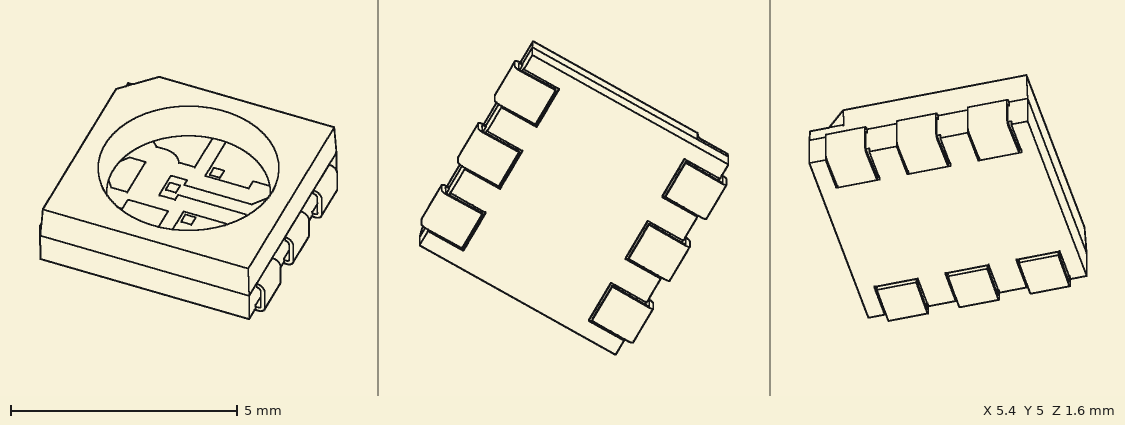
import cadquery as cq
import math


overall_length = 5.4
body_size = 5.0
overall_height = 1.6
half_body = body_size / 2

base_bottom = 0.1
base_top = 0.815
foot_recess_width = 1.0
foot_recess_length = 0.9
foot_recess_depth = 0.1

lead_pitch = 1.625
lead_width = 0.895
lead_thickness = 0.1
lead_top = base_top - 0.005
lead_overhang = (overall_length - body_size) / 2
upper_bend_radius = lead_overhang
lower_bend_radius = 0.15
foot_tilt = 3.0
foot_length = 1.05

top_inset = 0.04
corner_leg = 0.73
corner_depth = 0.485
cup_top_radius = 2.0
cup_floor_radius = 1.81
cup_depth = 0.725
floor_level = overall_height - cup_depth
pad_height = floor_level - base_top

outside = 2.16
gap_left = -0.18
gap_right = 0.14
centre_pad_left = -0.56
centre_pad_half_width = 0.34
neck_half_width = 0.175
neck_end = 1.44
flare_end = (1.89, 0.76)
side_pad_right = -1.25
side_pad_corner = -1.63
side_pad_half_width = 0.525
side_pad_taper_end = (-1.89, 0.175)
back_left_bottom = 0.795
back_left_shoulder = 1.07
back_left_corner = -1.215
relief_radius = 0.5
back_right_bottom = 0.62
back_right_step = (1.18, 0.875)
front_left_top = -0.74
front_left_step = (-1.14, -1.06)
front_right_top = -0.615
front_right_side = 1.16

chip_size = 0.25
chip_x = 0.34
chip_y = 0.815
centre_chip_x = -0.37
chip_places = [(chip_x, chip_y), (chip_x, -chip_y), (centre_chip_x, 0)]


def circle_point(centre, radius, degrees):
    """Point on a circle, at an angle counted from the first axis."""
    angle = math.radians(degrees)
    return (centre[0] + radius * math.cos(angle), centre[1] + radius * math.sin(angle))


def make_lead(y):
    """A lead at the -X side: out of the wall, down, and back under the base."""
    outer_x = -overall_length / 2
    inner_x = outer_x + lead_thickness
    foot_tip = outer_x + foot_length
    slope = math.tan(math.radians(foot_tilt))
    upper_centre = (-half_body, lead_top - upper_bend_radius)
    upper_inner_radius = upper_bend_radius - lead_thickness
    lower_centre = (outer_x + lower_bend_radius, lower_bend_radius)
    lower_inner_radius = lower_bend_radius - lead_thickness

    bend_end = 270 + foot_tilt
    bend_middle = (180 + bend_end) / 2
    foot_below = circle_point(lower_centre, lower_bend_radius, bend_end)
    foot_above = circle_point(lower_centre, lower_inner_radius, bend_end)
    profile = (
        cq.Workplane("XZ")
        .moveTo(-half_body, lead_top)
        .threePointArc(circle_point(upper_centre, upper_bend_radius, 135), (outer_x, upper_centre[1]))
        .lineTo(outer_x, lower_centre[1])
        .threePointArc(circle_point(lower_centre, lower_bend_radius, bend_middle), foot_below)
        .lineTo(foot_tip, foot_below[1] + slope * (foot_tip - foot_below[0]))
        .lineTo(foot_tip, foot_above[1] + slope * (foot_tip - foot_above[0]))
        .lineTo(*foot_above)
        .threePointArc(
            circle_point(lower_centre, lower_inner_radius, bend_middle), (inner_x, lower_centre[1])
        )
        .lineTo(inner_x, upper_centre[1])
        .threePointArc(
            circle_point(upper_centre, upper_inner_radius, 135), (-half_body, lead_top - lead_thickness)
        )
        .close()
    )
    return profile.extrude(lead_width / 2, both=True).translate((0, y, 0))


def make_foot_recess(y):
    """The room in the bottom of the base, at the -X side, for the tip of a lead's foot."""
    return (
        cq.Workplane("XY", origin=(-half_body, y, base_bottom))
        .rect(2 * foot_recess_length, foot_recess_width)
        .extrude(foot_recess_depth)
    )


def make_pad(outline):
    """A pad on the base, from its closed outline, trimmed to the floor of the cup."""
    cup_floor = cq.Workplane("XY", origin=(0, 0, base_top)).circle(cup_floor_radius).extrude(pad_height)
    return outline.extrude(pad_height).intersect(cup_floor)


def pad_polygon(points):
    return cq.Workplane("XY", origin=(0, 0, base_top)).polyline(points).close()


def back_left_outline():
    """The pad with the arc-shaped relief in its lower left corner."""
    relief_bottom = back_left_shoulder - relief_radius
    half_chord = math.sqrt(relief_radius**2 - (back_left_bottom - relief_bottom) ** 2)
    relief_centre = (centre_pad_left - half_chord, relief_bottom)
    end_angle = math.degrees(math.acos(half_chord / relief_radius))
    return (
        cq.Workplane("XY", origin=(0, 0, base_top))
        .moveTo(gap_left, outside)
        .lineTo(gap_left, back_left_bottom)
        .lineTo(centre_pad_left, back_left_bottom)
        .threePointArc(
            circle_point(relief_centre, relief_radius, (90 + end_angle) / 2),
            (relief_centre[0], back_left_shoulder),
        )
        .lineTo(back_left_corner, back_left_shoulder)
        .lineTo(back_left_corner - (outside - back_left_shoulder), outside)
        .close()
    )


def make_pads():
    centre_upper_edge = [
        flare_end,
        (neck_end, neck_half_width),
        (gap_left, neck_half_width),
        (gap_left, centre_pad_half_width),
        (centre_pad_left, centre_pad_half_width),
    ]
    side_upper_edge = [
        side_pad_taper_end,
        (side_pad_corner, side_pad_half_width),
        (side_pad_right, side_pad_half_width),
    ]
    back_right = [
        (gap_right, outside),
        (gap_right, back_right_bottom),
        (back_right_step[0], back_right_bottom),
        back_right_step,
        (outside, back_right_step[1]),
        (outside, outside),
    ]
    front_left = [
        (gap_left, -outside),
        (gap_left, front_left_top),
        (front_left_step[0], front_left_top),
        front_left_step,
        (-outside, front_left_step[1]),
        (-outside, -outside),
    ]
    front_right = [
        (gap_right, -outside),
        (gap_right, front_right_top),
        (front_right_side, front_right_top),
        (front_right_side, -outside),
    ]
    upper_edges = (centre_upper_edge, side_upper_edge)
    symmetric = [edge + [(x, -y) for x, y in reversed(edge)] for edge in upper_edges]
    outlines = [pad_polygon(points) for points in symmetric + [back_right, front_left, front_right]]
    outlines.append(back_left_outline())
    return [make_pad(outline) for outline in outlines]


def make_chip(place):
    """A square chip standing on the base, as high as the pad around it."""
    return (
        cq.Workplane("XY", origin=(place[0], place[1], base_top))
        .rect(chip_size, chip_size)
        .extrude(pad_height)
    )


def make_base(pads, chips):
    """The lower block with its leads and pads, and a pocket for each chip."""
    base = (
        cq.Workplane("XY", origin=(0, 0, base_bottom))
        .rect(body_size, body_size)
        .extrude(base_top - base_bottom)
    )
    for y in (-lead_pitch, 0, lead_pitch):
        recess = make_foot_recess(y)
        lead = make_lead(y)
        base = base.cut(recess).cut(recess.mirror("YZ"))
        base = base.union(lead).union(lead.mirror("YZ"))
    for pad in pads:
        base = base.union(pad)
    for chip in chips:
        base = base.cut(chip)
    return base


def make_reflector(pads):
    """The drafted upper block with the conical cup, whose thin floor fills the gaps between the pads."""
    top_size = body_size - 2 * top_inset
    block = (
        cq.Workplane("XY", origin=(0, 0, base_top))
        .rect(body_size, body_size)
        .workplane(offset=overall_height - base_top)
        .rect(top_size, top_size)
        .loft(ruled=True)
    )
    cup = cq.Solid.makeCone(
        cup_floor_radius, cup_top_radius, cup_depth, pnt=cq.Vector(0, 0, floor_level), dir=cq.Vector(0, 0, 1)
    )
    mark_sum = top_size - corner_leg
    reach = body_size
    corner_mark = (
        cq.Workplane("XY", origin=(0, 0, overall_height - corner_depth))
        .polyline([(-reach, mark_sum - reach), (-reach, reach), (reach - mark_sum, reach)])
        .close()
        .extrude(corner_depth)
    )
    reflector = block.cut(cq.Workplane(cup)).cut(corner_mark)
    for pad in pads:
        reflector = reflector.cut(pad)
    return reflector


bond_pads = make_pads()
led_chips = [make_chip(place) for place in chip_places]
base = make_base(bond_pads, led_chips)
reflector = make_reflector(bond_pads)

result = cq.Compound.makeCompound([base.val(), reflector.val(), *[chip.val() for chip in led_chips]])